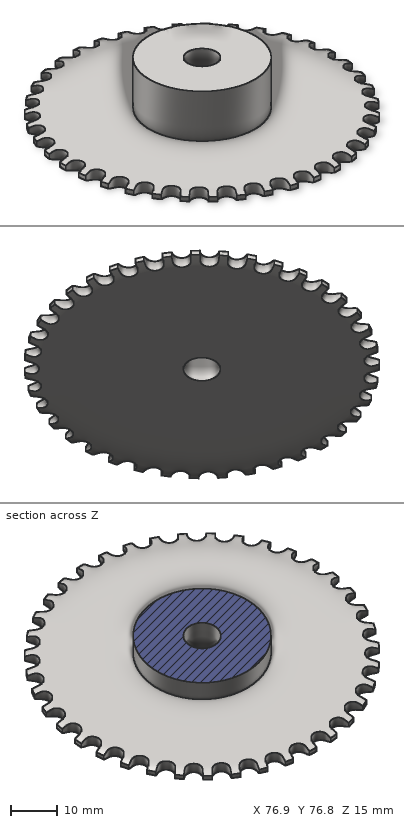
import cadquery as cq
import math

TEETH = 39
TIP_RADIUS = 38.45
PITCH_RADIUS = 37.3
ROLLER_DIAMETER = 4.0
PLATE_THICKNESS = 2.6
HUB_DIAMETER = 30.0
BORE_DIAMETER = 8.0
TOTAL_HEIGHT = 15.0

SHOULDER_RADIUS = 35.6
RIM_CURVE_RADIUS = 6.0

CUT_CLEARANCE = 0.8


def rim_curve_drop(radius):
    """Axial distance from the flat face down to the rounded tooth side at a given radius."""
    run = radius - SHOULDER_RADIUS
    return RIM_CURVE_RADIUS - math.sqrt(RIM_CURVE_RADIUS**2 - run**2)


def make_plate():
    """Revolve the disc section, with both sides of the rim rounded tangentially to the faces."""
    mid_radius = (SHOULDER_RADIUS + TIP_RADIUS) / 2
    mid_drop = rim_curve_drop(mid_radius)
    tip_drop = rim_curve_drop(TIP_RADIUS)
    section = (
        cq.Workplane("XZ")
        .lineTo(SHOULDER_RADIUS, 0)
        .threePointArc((mid_radius, mid_drop), (TIP_RADIUS, tip_drop))
        .lineTo(TIP_RADIUS, PLATE_THICKNESS - tip_drop)
        .threePointArc((mid_radius, PLATE_THICKNESS - mid_drop), (SHOULDER_RADIUS, PLATE_THICKNESS))
        .lineTo(0, PLATE_THICKNESS)
        .close()
    )
    return section.revolve(360, (0, 0), (0, 1))


def make_tooth_gaps():
    """Roller seats on the pitch circle, opening out so that every tooth has parallel sides.

    The flanks leave the seat arc tangentially; a tooth points along +Y.
    """
    seat_radius = ROLLER_DIAMETER / 2
    pitch_angle = 360 / TEETH
    flank_tilt = math.radians(pitch_angle / 2)
    flank_start_x = seat_radius * math.cos(flank_tilt)
    flank_start_y = PITCH_RADIUS - seat_radius * math.sin(flank_tilt)
    mouth_y = TIP_RADIUS + CUT_CLEARANCE
    mouth_x = flank_start_x + (mouth_y - flank_start_y) * math.tan(flank_tilt)
    gap = (
        cq.Workplane("XY")
        .moveTo(-flank_start_x, flank_start_y)
        .threePointArc((0, PITCH_RADIUS - seat_radius), (flank_start_x, flank_start_y))
        .lineTo(mouth_x, mouth_y)
        .lineTo(-mouth_x, mouth_y)
        .close()
        .extrude(PLATE_THICKNESS)
    )
    gaps = cq.Workplane("XY")
    for index in range(TEETH):
        angle = (index + 0.5) * pitch_angle
        gaps = gaps.add(gap.rotate((0, 0, 0), (0, 0, 1), angle))
    return gaps.combine()


def make_hub():
    return cq.Workplane("XY").circle(HUB_DIAMETER / 2).extrude(TOTAL_HEIGHT)


def make_bore():
    return cq.Workplane("XY").circle(BORE_DIAMETER / 2).extrude(TOTAL_HEIGHT)


toothed_plate = make_plate().cut(make_tooth_gaps())
result = toothed_plate.union(make_hub()).cut(make_bore())